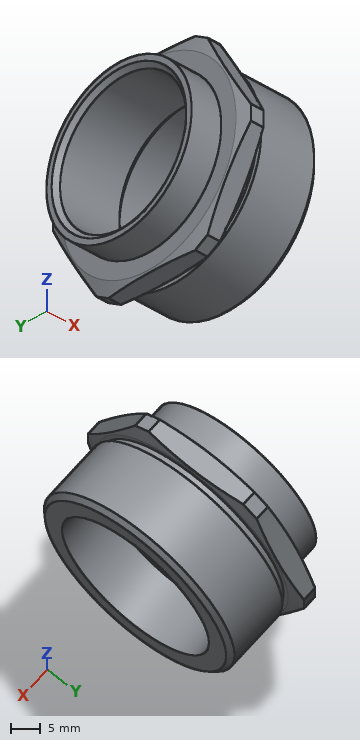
import cadquery as cq

sleeve_end = 7.0
hex_end = 11.5
neck_end = 13.0
total_length = 26.5

sleeve_radius = 17.5
neck_radius = 20.0
body_radius = 21.0
body_chamfer = 1.0

hex_across_flats = 43.0
hex_across_cut_corners = 47.65
hex_face_radius = 21.0
hex_chamfer_depth = 0.75

bore_radius = 15.2
bore_widening = 1.0
bore_widening_start = 15.0
bore_chamfer = 1.0

hex_thickness = hex_end - sleeve_end


def cylinder(start, end, radius):
    """Solid cylinder about the X axis between two stations."""
    return cq.Workplane("YZ", origin=(start, 0, 0)).circle(radius).extrude(end - start)


def hex_prism(across_flats, turn):
    """Hexagonal prism with flats facing +Z and -Z, then turned about the X axis."""
    prism = None
    for step in range(3):
        slab = (
            cq.Workplane("YZ", origin=(sleeve_end, 0, 0))
            .rect(2 * across_flats, across_flats)
            .extrude(hex_thickness)
            .rotate((0, 0, 0), (1, 0, 0), turn + 60 * step)
        )
        prism = slab if prism is None else prism.intersect(slab)
    return prism


def hex_flange():
    """Hexagon with flattened corners, both faces chamfered by a shallow cone."""
    hexagon = hex_prism(hex_across_flats, 0)
    corner_cut = hex_prism(hex_across_cut_corners, 30)
    cone_radius = hex_across_cut_corners / 2
    slope = (cone_radius - hex_face_radius) / hex_chamfer_depth
    middle = (sleeve_end + hex_end) / 2
    ridge_radius = hex_face_radius + slope * hex_thickness / 2
    double_cone = (
        cq.Workplane("XY")
        .moveTo(sleeve_end, 0)
        .lineTo(sleeve_end, hex_face_radius)
        .lineTo(middle, ridge_radius)
        .lineTo(hex_end, hex_face_radius)
        .lineTo(hex_end, 0)
        .close()
        .revolve(360, (0, 0, 0), (1, 0, 0))
    )
    return hexagon.intersect(corner_cut).intersect(double_cone)


def body():
    """Large cylinder with a chamfered free end."""
    return cylinder(neck_end, total_length, body_radius).faces(">X").chamfer(body_chamfer)


def bore():
    """Through hole with a chamfered mouth and a conical step out to a wider far half."""
    far_radius = bore_radius + bore_widening
    return (
        cq.Workplane("XY")
        .lineTo(0, bore_radius + bore_chamfer)
        .lineTo(bore_chamfer, bore_radius)
        .lineTo(bore_widening_start, bore_radius)
        .lineTo(bore_widening_start + bore_widening, far_radius)
        .lineTo(total_length, far_radius)
        .lineTo(total_length, 0)
        .close()
        .revolve(360, (0, 0, 0), (1, 0, 0))
    )


sleeve = cylinder(0, sleeve_end, sleeve_radius)
neck = cylinder(hex_end, neck_end, neck_radius)
result = sleeve.union(hex_flange()).union(neck).union(body()).cut(bore())